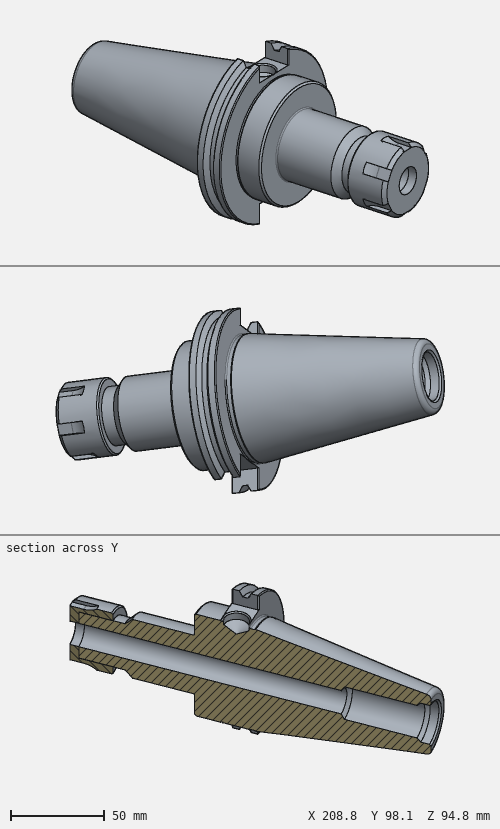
import cadquery as cq
import math

total_length = 208.8

taper_length = 101.3
taper_large_dia = 70.0
taper_rate = 7 / 24
taper_end_fillet = 3.1

flange_start = 104.8
flange_width = 15.7
flange_dia = 98.1
flange_chamfer = 0.6
vee_floor_dia = 91.2
vee_top_width = 6.9
vee_floor_width = 3.0

relief_dia = 69.3
relief_cone_length = 0.6
rear_relief_width = 1.3
root_fillet = 0.6
collar_end = 136.8
collar_chamfer = 1.0

shank_dia = 40.5
shank_end = 172.7
neck_dia = 32.0
neck_cone_length = 4.2
neck_end = 203.5

mouth_dia = 28.4
pilot_dia = 26.3
pilot_end = 6.0
thread_dia = 22.0
thread_end = 50.1
bore_dia = 15.7
drill_point_angle = 118.0

keyway_width = 25.3
keyway_edge_chamfer = 0.6
top_keyway_floor = 37.5
bottom_keyway_floor = 34.9
dimple_mouth_dia = 15.7
dimple_dia = 14.2
dimple_depth = 5.0

nut_dia = 42.0
nut_start = 183.7
nut_rear_chamfer = 0.8
nut_face_dia = 37.8
nut_front_chamfer_length = 2.0
nut_slot_count = 6
nut_slot_width = 6.5
nut_slot_floor = 18.5
nut_slot_start = 193.1
nut_slot_flat_start = 200.6

taper_small_radius = (taper_large_dia - taper_rate * taper_length) / 2
flange_end = flange_start + flange_width
flange_middle = flange_start + flange_width / 2


def drill_point_length(large_dia, small_dia=0.0):
    """Axial length of the cone a drill leaves between two diameters."""
    return (large_dia - small_dia) / 2 / math.tan(math.radians(drill_point_angle / 2))


def revolve_about_x(points):
    """Solid of revolution from (x, radius) points that start and end on the axis."""
    return cq.Workplane("XY").polyline(points).close().revolve(360, (0, 0, 0), (1, 0, 0))


def make_taper():
    profile = [
        (0, 0),
        (0, taper_small_radius),
        (taper_length, taper_large_dia / 2),
        (taper_length, 0),
    ]
    return revolve_about_x(profile).faces("<X").edges().fillet(taper_end_fillet)


def make_flange():
    """Flange disc with a V groove around its rim."""
    disc_radius = flange_dia / 2
    rim_radius = disc_radius - flange_chamfer
    floor_radius = vee_floor_dia / 2
    profile = [
        (flange_start, 0),
        (flange_start, rim_radius),
        (flange_start + flange_chamfer, disc_radius),
        (flange_middle - vee_top_width / 2, disc_radius),
        (flange_middle - vee_floor_width / 2, floor_radius),
        (flange_middle + vee_floor_width / 2, floor_radius),
        (flange_middle + vee_top_width / 2, disc_radius),
        (flange_end - flange_chamfer, disc_radius),
        (flange_end, rim_radius),
        (flange_end, 0),
    ]
    return revolve_about_x(profile)


def make_keyway(floor):
    """Cutter for a keyway open toward +Z, with bevelled wall edges at both flange faces."""
    wall = keyway_width / 2
    bevelled_wall = wall + keyway_edge_chamfer
    face = flange_width / 2
    bevel_end = face - keyway_edge_chamfer
    plan = [
        (-face, -bevelled_wall),
        (-face, bevelled_wall),
        (-bevel_end, wall),
        (bevel_end, wall),
        (face, bevelled_wall),
        (face, -bevelled_wall),
        (bevel_end, -wall),
        (-bevel_end, -wall),
    ]
    cutter = cq.Workplane("XY").polyline(plan).close().extrude(flange_dia / 2 - floor)
    return cutter.translate((flange_middle, 0, floor))


def cut_keyways(flange):
    """Two drive keyways, on +Z and -Z, of different depth."""
    top_keyway = make_keyway(top_keyway_floor)
    bottom_keyway = make_keyway(bottom_keyway_floor).rotate((0, 0, 0), (1, 0, 0), 180)
    return flange.cut(top_keyway).cut(bottom_keyway)


def make_dimple():
    """Drill-shaped cutter with a chamfered mouth, entering the +Z keyway floor."""
    mouth_depth = (dimple_mouth_dia - dimple_dia) / 2
    straight_end = top_keyway_floor - dimple_depth
    tip = straight_end - drill_point_length(dimple_dia)
    profile = [
        (0, tip),
        (dimple_dia / 2, straight_end),
        (dimple_dia / 2, top_keyway_floor - mouth_depth),
        (dimple_mouth_dia / 2, top_keyway_floor),
        (0, top_keyway_floor),
    ]
    drill = cq.Workplane("XZ").polyline(profile).close().revolve(360, (0, 0, 0), (0, 1, 0))
    return drill.translate((flange_middle, 0, 0))


def make_rear_body():
    """Relief grooves, collar, shank and neck, as one stepped shaft."""
    relief_radius = relief_dia / 2
    collar_radius = taper_large_dia / 2
    collar_start = flange_end + rear_relief_width
    profile = [
        (taper_length, 0),
        (taper_length, collar_radius),
        (taper_length + relief_cone_length, relief_radius),
        (collar_start, relief_radius),
        (collar_start, collar_radius),
        (collar_end - collar_chamfer, collar_radius),
        (collar_end, collar_radius - collar_chamfer),
        (collar_end, shank_dia / 2),
        (shank_end, shank_dia / 2),
        (shank_end + neck_cone_length, neck_dia / 2),
        (neck_end, neck_dia / 2),
        (neck_end, 0),
    ]
    return revolve_about_x(profile)


def make_root_fillet(face, shaft_radius, side):
    """Concave ring between a shaft and a face; side is +1 or -1, where the shaft lies along X."""
    arc_inset = root_fillet * (1 - math.sqrt(0.5))
    return (
        cq.Workplane("XY")
        .moveTo(face, shaft_radius)
        .lineTo(face, shaft_radius + root_fillet)
        .threePointArc(
            (face + side * arc_inset, shaft_radius + arc_inset),
            (face + side * root_fillet, shaft_radius),
        )
        .close()
        .revolve(360, (0, 0, 0), (1, 0, 0))
    )


def make_bore():
    """Drawbar bore: chamfered mouth, pilot, thread hole and through hole."""
    mouth_depth = (mouth_dia - pilot_dia) / 2
    thread_start = pilot_end + (pilot_dia - thread_dia) / 2
    bore_start = thread_end + drill_point_length(thread_dia, bore_dia)
    profile = [
        (0, 0),
        (0, mouth_dia / 2),
        (mouth_depth, pilot_dia / 2),
        (pilot_end, pilot_dia / 2),
        (thread_start, thread_dia / 2),
        (thread_end, thread_dia / 2),
        (bore_start, bore_dia / 2),
        (total_length, bore_dia / 2),
        (total_length, 0),
    ]
    return revolve_about_x(profile)


def make_nut_slot():
    """Wrench slot cutter on +Z: an arc run-in, then a flat floor to the nut face."""
    top = nut_dia / 2
    run_in = nut_slot_flat_start - nut_slot_start
    depth = top - nut_slot_floor
    arc_radius = (run_in ** 2 + depth ** 2) / (2 * depth)
    middle_rise = arc_radius - math.sqrt(arc_radius ** 2 - (run_in / 2) ** 2)
    return (
        cq.Workplane("XZ")
        .moveTo(nut_slot_start, top)
        .threePointArc(
            (nut_slot_start + run_in / 2, nut_slot_floor + middle_rise),
            (nut_slot_flat_start, nut_slot_floor),
        )
        .lineTo(total_length, nut_slot_floor)
        .lineTo(total_length, top)
        .close()
        .extrude(nut_slot_width / 2, both=True)
    )


def make_arbor():
    body = make_taper().union(cut_keyways(make_flange())).union(make_rear_body())
    body = body.union(make_root_fillet(flange_start, relief_dia / 2, -1))
    body = body.union(make_root_fillet(collar_end, shank_dia / 2, 1))
    return body.cut(make_dimple()).cut(make_bore())


def make_nut():
    """Clamping nut that sits over the neck, with wrench slots around its front."""
    outer_radius = nut_dia / 2
    neck_radius = neck_dia / 2
    bore_radius = bore_dia / 2
    profile = [
        (nut_start, neck_radius),
        (nut_start, outer_radius - nut_rear_chamfer),
        (nut_start + nut_rear_chamfer, outer_radius),
        (total_length - nut_front_chamfer_length, outer_radius),
        (total_length, nut_face_dia / 2),
        (total_length, bore_radius),
        (neck_end, bore_radius),
        (neck_end, neck_radius),
    ]
    nut = revolve_about_x(profile)
    slot = make_nut_slot()
    for index in range(nut_slot_count):
        nut = nut.cut(slot.rotate((0, 0, 0), (1, 0, 0), index * 360 / nut_slot_count))
    return nut


arbor = make_arbor()
nut = make_nut()
result = cq.Compound.makeCompound([arbor.solids().val(), nut.solids().val()])